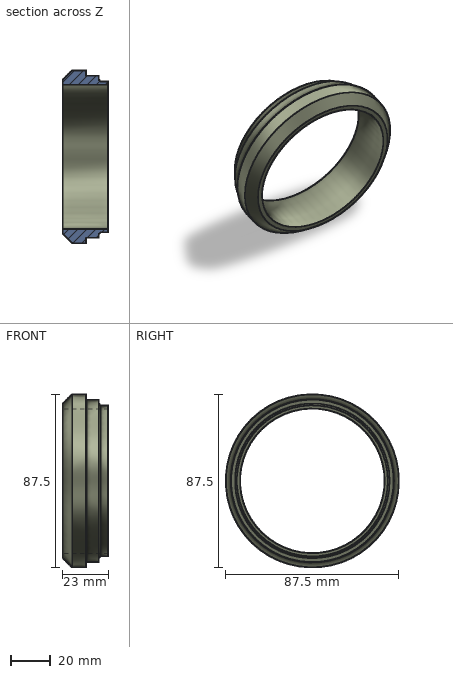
import cadquery as cq

length = 23.0
bore_radius = 72.9 / 2
rim_radius = 87.5 / 2
shoulder_radius = 82.0 / 2
spigot_radius = 76.2 / 2

rim_end = 11.9
shoulder_end = 18.3

front_bevel = 4.8
rim_bevel_length = 0.3
rim_bevel_depth = 0.1
shoulder_foot = 0.3
spigot_foot = 1.0

section = (
    cq.Workplane("XY")
    .moveTo(0, bore_radius)
    .lineTo(0, rim_radius - front_bevel)
    .lineTo(front_bevel, rim_radius)
    .lineTo(rim_end - rim_bevel_length, rim_radius)
    .lineTo(rim_end, rim_radius - rim_bevel_depth)
    .lineTo(rim_end, shoulder_radius + shoulder_foot)
    .lineTo(rim_end + shoulder_foot, shoulder_radius)
    .lineTo(shoulder_end, shoulder_radius)
    .lineTo(shoulder_end, spigot_radius + spigot_foot)
    .lineTo(shoulder_end + spigot_foot, spigot_radius)
    .lineTo(length, spigot_radius)
    .lineTo(length, bore_radius)
    .close()
)

result = section.revolve(360, (0, 0, 0), (1, 0, 0))